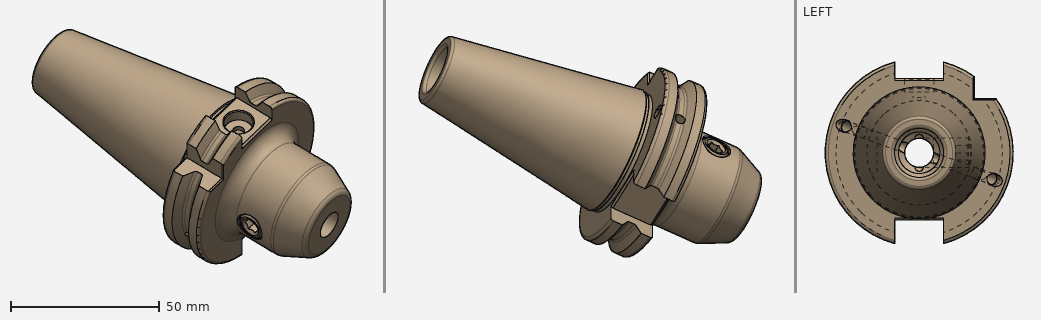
import cadquery as cq
import math

length = 118.4
gauge_x = 68.8
flange_start_x = 71.5
flange_end_x = 87.4
flange_width = flange_end_x - flange_start_x
flange_mid_x = (flange_start_x + flange_end_x) / 2

gauge_radius = 22.3
taper_slope = 7 / 48
small_end_radius = gauge_radius - taper_slope * gauge_x
small_end_round = 1.1
neck_radius = 21.9
relief_radius = 21.7
relief_start_x = 70.1

flange_radius = 31.7
flange_round = 1.1
groove_floor_radius = 28.1
groove_half_width = 3.5
groove_half_angle = 30.0
groove_floor_round = 1.0

slot_width = 16.3
top_slot_floor = 25.1
bottom_slot_floor = 22.7
slot_chamfer = 0.7
notch_wall = 18.6
notch_floor = 18.2
notch_chamfer = 0.5
cutter_reach = flange_radius + 1.2

nose_radius = 17.6
neck_fillet = 5.1
nose_cone_start_x = 107.6
nose_cone_angle = 24.7
nose_shoulder_round = 2.4
nose_tip_round = 2.2

mouth_radius = 8.3
mouth_depth = 6.3
mouth_round = 1.1
thread_radius = 7.0
thread_end_x = 78.1
drill_point_half_angle = 59.0
tool_bore_radius = 4.9
coolant_groove_radius = 1.4
coolant_groove_length = 1.8

pocket_radius = 5.0
pocket_rim_chamfer = 0.4
pocket_depth = 4.6
pilot_radius = 2.0
pilot_depth = 1.8

duct_angle = 19.8
duct_radius = 1.8
feed_mouth_radius = 2.1
feed_mouth_depth = 1.1
feed_radius = 1.9
feed_start_radius = 26.9
feed_tilt = 41.0

screw_x = 98.2
screw_radius = 5.0
screw_hole_chamfer = 0.4
screw_outer_end = 17.3
screw_chamfer = 0.7
socket_flats = 5.0
socket_depth = 5.0
socket_rim_radius = 3.5
recess_x = 99.7
recess_radius = 7.2
recess_floor = 14.2


def revolve_about_x(profile):
    """Revolve an open (x, radius) outline about the X axis."""
    return profile.close().revolve(360, (0, 0, 0), (1, 0, 0))


def cylinder(start, direction, radius, depth):
    return cq.Workplane(cq.Solid.makeCylinder(radius, depth, cq.Vector(*start), cq.Vector(*direction)))


def cone(start, direction, start_radius, end_radius, depth):
    return cq.Workplane(
        cq.Solid.makeCone(start_radius, end_radius, depth, cq.Vector(*start), cq.Vector(*direction))
    )


def drill_point_depth(start_radius, end_radius=0.0):
    return (start_radius - end_radius) / math.tan(math.radians(drill_point_half_angle))


def ring_edge(x, radius):
    """Select the circular edge about the X axis at station x."""
    slack = 0.06
    reach = radius + slack
    return cq.selectors.BoxSelector((x - slack, -reach, -reach), (x + slack, reach, reach), boundingbox=True)


def make_taper_shank():
    profile = (
        cq.Workplane("XZ")
        .lineTo(0, small_end_radius)
        .lineTo(gauge_x, gauge_radius)
        .lineTo(gauge_x + gauge_radius - neck_radius, neck_radius)
        .lineTo(relief_start_x, neck_radius)
        .lineTo(relief_start_x, relief_radius)
        .lineTo(flange_mid_x, relief_radius)
        .lineTo(flange_mid_x, 0)
    )
    return revolve_about_x(profile).faces("<X").edges().fillet(small_end_round)


def make_groove_ring():
    """Ring of material that the V groove takes out of the flange."""
    wall_run = (flange_radius - groove_floor_radius) * math.tan(math.radians(groove_half_angle))
    floor_half_width = groove_half_width - wall_run
    profile = (
        cq.Workplane("XZ")
        .moveTo(flange_mid_x - groove_half_width, flange_radius)
        .lineTo(flange_mid_x - floor_half_width, groove_floor_radius)
        .lineTo(flange_mid_x + floor_half_width, groove_floor_radius)
        .lineTo(flange_mid_x + groove_half_width, flange_radius)
        .lineTo(flange_mid_x + groove_half_width, cutter_reach)
        .lineTo(flange_mid_x - groove_half_width, cutter_reach)
    )
    ring = revolve_about_x(profile)
    for side in (-1, 1):
        corner_x = flange_mid_x + side * floor_half_width
        ring = ring.edges(ring_edge(corner_x, groove_floor_radius)).fillet(groove_floor_round)
    return ring


def make_flange():
    disc = cylinder((flange_start_x, 0, 0), (1, 0, 0), flange_radius, flange_width)
    disc = disc.faces("<X or >X").edges().fillet(flange_round)
    return disc.cut(make_groove_ring())


def make_nose():
    slope = math.tan(math.radians(nose_cone_angle))
    tip_radius = nose_radius - (length - nose_cone_start_x) * slope
    fillet_center_x = flange_end_x + neck_fillet
    fillet_center_radius = nose_radius + neck_fillet
    diagonal = neck_fillet * math.sqrt(0.5)
    profile = (
        cq.Workplane("XZ")
        .moveTo(flange_mid_x, 0)
        .lineTo(flange_mid_x, fillet_center_radius)
        .lineTo(flange_end_x, fillet_center_radius)
        .threePointArc(
            (fillet_center_x - diagonal, fillet_center_radius - diagonal),
            (fillet_center_x, nose_radius),
        )
        .lineTo(nose_cone_start_x, nose_radius)
        .lineTo(length, tip_radius)
        .lineTo(length, 0)
    )
    nose = revolve_about_x(profile)
    nose = nose.edges(ring_edge(nose_cone_start_x, nose_radius)).fillet(nose_shoulder_round)
    return nose.faces(">X").edges().fillet(nose_tip_round)


def make_slot_cutter(floor):
    """Drive slot open towards +Z, its floor chamfered at both flange faces."""
    profile = (
        cq.Workplane("XZ")
        .moveTo(flange_start_x, cutter_reach)
        .lineTo(flange_start_x, floor - slot_chamfer)
        .lineTo(flange_start_x + slot_chamfer, floor)
        .lineTo(flange_end_x - slot_chamfer, floor)
        .lineTo(flange_end_x, floor - slot_chamfer)
        .lineTo(flange_end_x, cutter_reach)
        .close()
    )
    return profile.extrude(slot_width / 2, both=True)


def make_slot_cutters():
    top = make_slot_cutter(top_slot_floor)
    bottom = make_slot_cutter(bottom_slot_floor).rotate((0, 0, 0), (1, 0, 0), 180)
    return top.union(bottom)


def make_notch_block(x, overlap):
    """Square outline of the notch at station x, grown by overlap past its wall and floor."""
    return (
        cq.Workplane("YZ", origin=(x, 0, 0))
        .moveTo(-cutter_reach, notch_floor - overlap)
        .lineTo(-notch_wall + overlap, notch_floor - overlap)
        .lineTo(-notch_wall + overlap, cutter_reach)
        .lineTo(-cutter_reach, cutter_reach)
        .close()
    )


def make_notch_cutter():
    """Corner notch at -Y, +Z, chamfered where it meets both flange faces."""
    cutter = make_notch_block(flange_start_x, 0).extrude(flange_width)
    for face_x, inward in ((flange_start_x, 1), (flange_end_x, -1)):
        bevel = make_notch_block(face_x, notch_chamfer).extrude(inward * notch_chamfer, taper=45)
        cutter = cutter.union(bevel)
    return cutter


def make_bore():
    thread_start_x = mouth_depth + mouth_radius - thread_radius
    tool_bore_start_x = thread_end_x + drill_point_depth(thread_radius, tool_bore_radius)
    diagonal = mouth_round * math.sqrt(0.5)
    profile = (
        cq.Workplane("XZ")
        .lineTo(0, mouth_radius + mouth_round)
        .threePointArc(
            (mouth_round - diagonal, mouth_radius + mouth_round - diagonal),
            (mouth_round, mouth_radius),
        )
        .lineTo(mouth_depth, mouth_radius)
        .lineTo(thread_start_x, thread_radius)
        .lineTo(thread_end_x, thread_radius)
        .lineTo(tool_bore_start_x, tool_bore_radius)
        .lineTo(length, tool_bore_radius)
        .lineTo(length, 0)
    )
    return revolve_about_x(profile)


def make_coolant_grooves():
    """Two short round-ended grooves in the wall of the tool bore, at its inner end."""
    end_x = thread_end_x + drill_point_depth(thread_radius, tool_bore_radius) + coolant_groove_length
    grooves = cq.Workplane()
    for side in (-1, 1):
        z = side * tool_bore_radius
        straight = cylinder((thread_end_x, 0, z), (1, 0, 0), coolant_groove_radius, end_x - thread_end_x)
        round_end = cq.Workplane("XY", origin=(end_x, 0, z)).sphere(coolant_groove_radius)
        grooves = grooves.add(straight.union(round_end))
    return grooves.combine()


def make_pocket():
    down = (0, 0, -1)
    mouth = (flange_mid_x, 0, top_slot_floor)
    floor_z = top_slot_floor - pocket_depth
    pocket = cylinder(mouth, down, pocket_radius, pocket_depth)
    rim = cone(mouth, down, pocket_radius + pocket_rim_chamfer, pocket_radius, pocket_rim_chamfer)
    pilot = cylinder((flange_mid_x, 0, floor_z), down, pilot_radius, pilot_depth)
    point_start = (flange_mid_x, 0, floor_z - pilot_depth)
    point = cone(point_start, down, pilot_radius, 0, drill_point_depth(pilot_radius))
    return pocket.union(rim).union(pilot).union(point)


def make_duct():
    """One coolant duct lying in the +Y half of the XY plane."""
    radial = cylinder((flange_mid_x, flange_radius, 0), (0, -1, 0), duct_radius, flange_radius)
    tilt = math.radians(feed_tilt)
    direction = cq.Vector(math.cos(tilt), -math.sin(tilt), 0)
    entry = cq.Vector(flange_start_x, feed_start_radius, 0)
    lead_in = feed_mouth_radius * 2
    start = entry - direction * lead_in
    feed_depth = (flange_mid_x - flange_start_x) / math.cos(tilt)
    mouth = cylinder(start.toTuple(), direction.toTuple(), feed_mouth_radius, lead_in + feed_mouth_depth)
    feed = cylinder(entry.toTuple(), direction.toTuple(), feed_radius, feed_depth)
    return radial.union(mouth).union(feed)


def make_ducts():
    ducts = cq.Workplane()
    for turn in (0, 180):
        ducts = ducts.add(make_duct().rotate((0, 0, 0), (1, 0, 0), duct_angle + turn))
    return ducts.combine()


def cut_screw_hole(body):
    """Cut the clamping screw hole from -Y into the tool bore and break its outer edge."""
    hole = cylinder((screw_x, -nose_radius, 0), (0, 1, 0), screw_radius, nose_radius)
    slack = 0.1
    reach = screw_radius + slack
    rim_inner_y = -math.sqrt(nose_radius**2 - screw_radius**2)
    rim = cq.selectors.BoxSelector(
        (screw_x - reach, -nose_radius - slack, -reach),
        (screw_x + reach, rim_inner_y + slack, reach),
        boundingbox=True,
    )
    return body.cut(hole).edges(rim).chamfer(screw_hole_chamfer)


def make_recess():
    return cylinder((recess_x, recess_floor, 0), (0, 1, 0), recess_radius, nose_radius - recess_floor)


def make_housing():
    body = make_taper_shank().union(make_flange()).union(make_nose())
    body = body.cut(make_slot_cutters()).cut(make_notch_cutter())
    body = body.cut(make_bore()).cut(make_coolant_grooves())
    body = body.cut(make_pocket()).cut(make_ducts()).cut(make_recess())
    return cut_screw_hole(body).solids()


def make_clamp_screw():
    """Set screw with a hexagon socket, reaching in as far as the tool bore."""
    outer_end = (screw_x, -screw_outer_end, 0)
    screw = cylinder(outer_end, (0, 1, 0), screw_radius, screw_outer_end - tool_bore_radius)
    screw = screw.faces("<Y").edges().chamfer(screw_chamfer)
    socket_corners = socket_flats / math.cos(math.radians(30))
    socket = cq.Workplane("XZ", origin=outer_end).polygon(6, socket_corners).extrude(-socket_depth)
    socket_rim = cone(outer_end, (0, 1, 0), socket_rim_radius, 0, socket_rim_radius)
    return screw.cut(socket).cut(socket_rim)


housing = make_housing()
clamp_screw = make_clamp_screw()
result = cq.Compound.makeCompound([housing.val(), clamp_screw.val()])